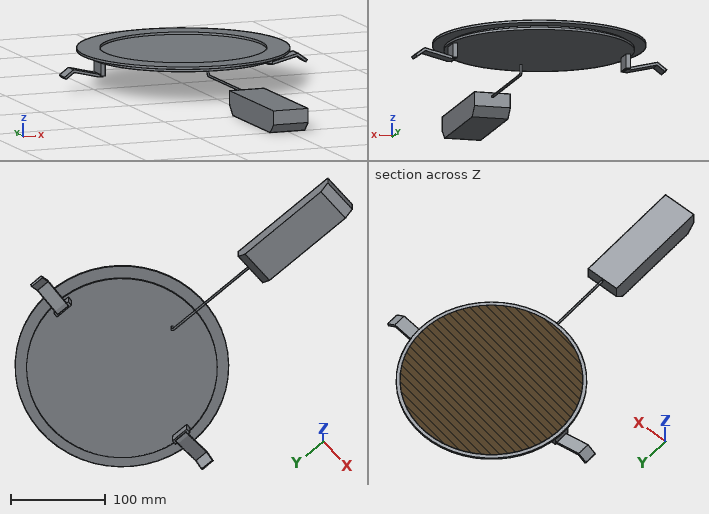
import cadquery as cq
import math

layer_thickness = 2.5
trim_diameter = 225.0
window_diameter = 176.0
diffuser_diameter = 193.0
back_plate_diameter = 201.0
diffuser_top = -layer_thickness
back_plate_top = diffuser_top - layer_thickness
lamp_bottom = back_plate_top - layer_thickness

overall_width = 275.0
spring_thickness = 3.0
spring_width = 15.0
spring_bottom = -24.0
spring_heel_x = 94.0
spring_flat_end_x = 98.0
spring_peak_x = 127.5
spring_peak_z = -13.8
spring_tip_x = overall_width / 2
spring_tip_z = -21.5

bracket_thickness = 5.0
bracket_outer_x = 97.3
bracket_width = 20.0
bracket_bottom = -22.5

driver_length = 125.2
driver_width = 39.2
driver_height = 25.0
driver_top = -13.8
driver_end_y = trim_diameter / 2 - 417.5
driver_front_y = driver_end_y + driver_length
driver_cut_length = 9.5
driver_cut_height = 10.0

cable_diameter = 2.3
cable_start_y = -70.0
cable_run_z = -18.0
cable_bend_radius = 3.5


def disc(diameter, top):
    """Disc one layer thick, hanging down from the given height."""
    return cq.Workplane("XY").workplane(offset=top).circle(diameter / 2).extrude(-layer_thickness)


def make_trim_ring():
    return disc(trim_diameter, 0).cut(disc(window_diameter, 0))


def make_spring():
    """Bent strip on the +X side: flat heel, rising arm and drooping tip."""
    top_line = [
        (spring_heel_x, spring_bottom + spring_thickness),
        (spring_flat_end_x, spring_bottom + spring_thickness),
        (spring_peak_x, spring_peak_z),
        (spring_tip_x, spring_tip_z),
    ]
    arm_angle = math.atan2(top_line[2][1] - top_line[1][1], top_line[2][0] - top_line[1][0])
    tip_angle = math.atan2(top_line[3][1] - top_line[2][1], top_line[3][0] - top_line[2][0])

    def offset_below(point, angle_before, angle_after):
        """Point on the underside, at the mitre of the two adjoining stretches."""
        mitre_angle = (angle_before + angle_after) / 2
        distance = spring_thickness / math.cos((angle_after - angle_before) / 2)
        x, z = point
        return x + distance * math.sin(mitre_angle), z - distance * math.cos(mitre_angle)

    stretch_angles = [0, 0, arm_angle, tip_angle, tip_angle]
    underside = [
        offset_below(point, stretch_angles[i], stretch_angles[i + 1])
        for i, point in enumerate(top_line)
    ]
    outline = top_line + underside[::-1]
    return cq.Workplane("XZ").polyline(outline).close().extrude(spring_width / 2, both=True)


def make_bracket(spring):
    """Upright block on the +X side, recessed for the heel of its spring."""
    block = (
        cq.Workplane("XY")
        .workplane(offset=bracket_bottom)
        .center(bracket_outer_x - bracket_thickness / 2, 0)
        .rect(bracket_thickness, bracket_width)
        .extrude(lamp_bottom - bracket_bottom)
    )
    return block.cut(spring)


def make_driver():
    bottom = driver_top - driver_height
    cut_z = bottom + driver_cut_height
    outline = [
        (driver_end_y, driver_top),
        (driver_front_y, driver_top),
        (driver_front_y, cut_z),
        (driver_front_y - driver_cut_length, bottom),
        (driver_end_y + driver_cut_length, bottom),
        (driver_end_y, cut_z),
    ]
    return cq.Workplane("YZ").polyline(outline).close().extrude(driver_width / 2, both=True)


def make_cable():
    """Round cable that drops from the back plate and bends towards the driver."""
    bend_inset = cable_bend_radius * (1 - math.sqrt(0.5))
    path = (
        cq.Workplane("YZ")
        .moveTo(cable_start_y, lamp_bottom)
        .lineTo(cable_start_y, cable_run_z + cable_bend_radius)
        .threePointArc(
            (cable_start_y - bend_inset, cable_run_z + bend_inset),
            (cable_start_y - cable_bend_radius, cable_run_z),
        )
        .lineTo(driver_front_y, cable_run_z)
    )
    start = cq.Workplane("XY").workplane(offset=lamp_bottom).center(0, cable_start_y)
    return start.circle(cable_diameter / 2).sweep(path)


trim_ring = make_trim_ring()
diffuser = disc(diffuser_diameter, diffuser_top)
back_plate = disc(back_plate_diameter, back_plate_top)
driver = make_driver()
cable = make_cable()

spring_clips = []
for side_angle in (0, 180):
    spring = make_spring()
    bracket = make_bracket(spring)
    for body in (spring, bracket):
        spring_clips.append(body.rotate((0, 0, 0), (0, 0, 1), side_angle).val())

result = cq.Compound.makeCompound([
    trim_ring.val(),
    diffuser.val(),
    back_plate.val(),
    *spring_clips,
    driver.val(),
    cable.val(),
])